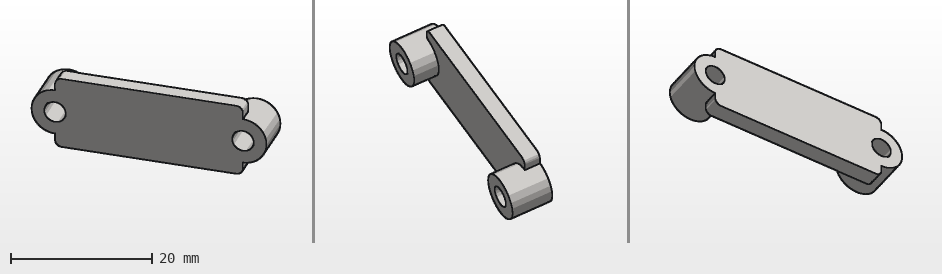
import cadquery as cq

total_length = 35.0
total_depth = 6.5
plate_height = 11.0
plate_thickness = 2.5
corner_radius = 1.0

boss_diameter = 7.0
hole_diameter = 3.2
hole_spacing = total_length - boss_diameter
boss_centers = [(-hole_spacing / 2, 0), (hole_spacing / 2, 0)]

plate_length = hole_spacing


def make_plate():
    plate = cq.Workplane("XZ").rect(plate_length, plate_height).extrude(-plate_thickness)
    return plate.edges("|Y").fillet(corner_radius)


def make_cylinders(diameter):
    """Full-depth cylinders along Y, one on each boss axis."""
    return cq.Workplane("XZ").pushPoints(boss_centers).circle(diameter / 2).extrude(-total_depth)


result = make_plate().union(make_cylinders(boss_diameter)).cut(make_cylinders(hole_diameter))